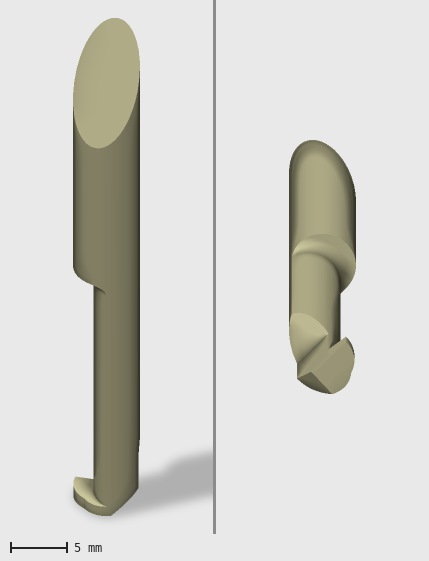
import cadquery as cq
import math

total_height = 52.45
shank_radius = 3.0
slant_rise = math.tan(math.radians(60))

shoulder_z = 26.45
shoulder_fillet = 1.05
neck_left_x = -1.05
neck_corner_x = 1.05
neck_corner_y = -math.sqrt(shank_radius**2 - neck_corner_x**2)
neck_chord_depth = neck_corner_x - neck_left_x
neck_radius = (neck_chord_depth**2 + neck_corner_y**2) / (2 * neck_chord_depth)
neck_center_x = neck_left_x + neck_radius

flat_y = 0.25
flat_top_z = 5.7
foot_chamfer = 1.8

head_height = 1.5
head_clearance = 0.08
head_heel_x = -1.2
head_heel_y = -2.4
head_lobe_y = -2.95
head_nose_span = head_heel_x + shank_radius
head_nose_radius = (head_nose_span**2 + head_heel_y**2) / (2 * head_nose_span)
head_nose_angle = math.atan2(-head_heel_y, head_nose_radius - head_nose_span) / 2
head_nose_center_x = head_nose_radius - shank_radius

reach = 3 * shank_radius


def extrude_along_x(points):
    """Prism with a (Y, Z) outline, passing through the whole bar along X."""
    return cq.Workplane("YZ").polyline(points).close().extrude(reach, both=True)


def make_neck_cutter():
    """Space around the neck below the shoulder, with the fillet left for the body."""
    fillet_start_z = shoulder_z - shoulder_fillet
    fillet_outer_radius = neck_radius + shoulder_fillet
    arc_offset = shoulder_fillet * math.sqrt(0.5)
    profile = (
        cq.Workplane("XZ")
        .moveTo(neck_radius, -reach)
        .lineTo(neck_radius, fillet_start_z)
        .threePointArc(
            (fillet_outer_radius - arc_offset, fillet_start_z + arc_offset),
            (fillet_outer_radius, shoulder_z),
        )
        .lineTo(neck_radius + reach, shoulder_z)
        .lineTo(neck_radius + reach, -reach)
        .close()
    )
    ring = profile.revolve(360, (0, 0, 0), (0, 1, 0)).translate((neck_center_x, 0, 0))
    side = cq.Workplane("XY").box(reach, 2 * reach, 3 * total_height)
    return ring.intersect(side.translate((neck_center_x - reach / 2, 0, 0)))


def make_underside_cutter():
    """Space below the sloping underside shared by the bar and the head."""
    rise = head_clearance * reach
    return extrude_along_x([(reach, 0), (0, 0), (-reach, rise), (-reach, -reach), (reach, -reach)])


def make_bar():
    bar = cq.Workplane("XY").circle(shank_radius).extrude(total_height)
    slant_low_z = total_height - slant_rise * (shank_radius + reach)
    slant_high_z = total_height + slant_rise * (reach - shank_radius)
    top_slant = [(-reach, slant_low_z), (reach, slant_high_z), (-reach, slant_high_z)]
    flat_relief = [
        (flat_y, -reach),
        (flat_y, flat_top_z),
        (reach, flat_top_z + slant_rise * (reach - flat_y)),
        (reach, -reach),
    ]
    chamfer = (
        cq.Workplane("XZ")
        .polyline([
            (shank_radius - foot_chamfer - reach, -reach),
            (shank_radius + reach, foot_chamfer + reach),
            (shank_radius + reach, -reach),
        ])
        .close()
        .extrude(reach, both=True)
    )
    return (
        bar.cut(make_neck_cutter())
        .cut(extrude_along_x(top_slant))
        .cut(extrude_along_x(flat_relief))
        .cut(chamfer)
        .cut(make_underside_cutter())
    )


def make_head():
    """Hooked cutting head that wraps the foot of the neck."""
    neck_mid_angle = math.atan2(-neck_corner_y, neck_center_x - neck_corner_x) / 2
    rake_end_x = neck_center_x - math.sqrt(neck_radius**2 - flat_y**2)
    outline = (
        cq.Workplane("XY")
        .moveTo(-shank_radius, 0)
        .threePointArc(
            (
                head_nose_center_x - head_nose_radius * math.cos(head_nose_angle),
                -head_nose_radius * math.sin(head_nose_angle),
            ),
            (head_heel_x, head_heel_y),
        )
        .threePointArc((0, head_lobe_y), (neck_corner_x, neck_corner_y))
        .threePointArc(
            (
                neck_center_x - neck_radius * math.cos(neck_mid_angle),
                -neck_radius * math.sin(neck_mid_angle),
            ),
            (rake_end_x, flat_y),
        )
        .close()
    )
    fall = head_clearance * reach
    above_head = extrude_along_x([
        (reach, head_height),
        (0, head_height),
        (-reach, head_height - fall),
        (-reach, reach),
        (reach, reach),
    ])
    return outline.extrude(head_height).cut(above_head).cut(make_underside_cutter())


bar = make_bar()
head = make_head()
result = cq.Compound.makeCompound([bar.solids().val(), head.solids().val()])